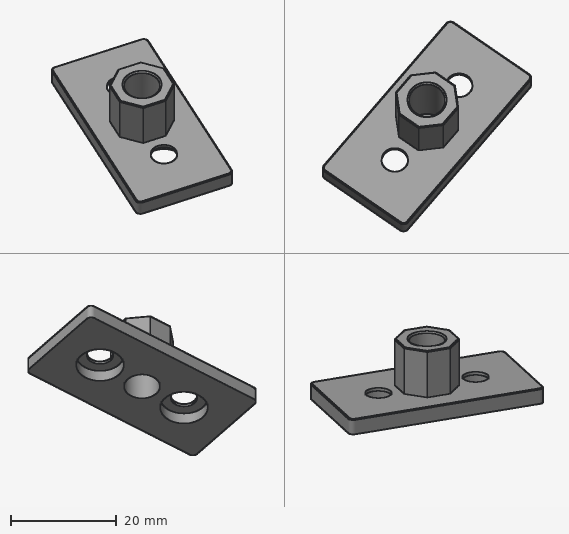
import cadquery as cq
import math

plate_length = 40.0
plate_width = plate_length / 2
plate_thickness = 3.15
corner_radius = 1.0
edge_chamfer = 0.2

total_height = 12.7
boss_across_flats = 11.35
bore_diameter = 6.8
bore_chamfer = 0.3

hole_diameter = 5.0
counterbore_diameter = 9.0
counterbore_floor = 0.65
counterbore_depth = plate_thickness - counterbore_floor
hole_spacing = plate_length / 2


def make_plate():
    """Rounded plate resting on Z = 0, with its top rim chamfered."""
    plate = cq.Workplane("XY").box(plate_length, plate_width, plate_thickness, centered=(True, True, False))
    return plate.edges("|Z").fillet(corner_radius).faces(">Z").edges().chamfer(edge_chamfer)


def make_boss():
    """Octagonal boss with flats facing X and Y, and its top rim chamfered."""
    sides = 8
    across_corners = boss_across_flats / math.cos(math.pi / sides)
    boss = (
        cq.Workplane("XY")
        .transformed(rotate=(0, 0, 180 / sides))
        .polygon(sides, across_corners)
        .extrude(total_height)
    )
    return boss.faces(">Z").edges().chamfer(edge_chamfer)


def make_bore():
    """Through bore widened by a small chamfer at the boss top."""
    bore = cq.Workplane("XY").circle(bore_diameter / 2).extrude(total_height)
    mouth = (
        cq.Workplane("XY", origin=(0, 0, total_height))
        .circle(bore_diameter / 2 + bore_chamfer)
        .extrude(-bore_chamfer, taper=45)
    )
    return bore.union(mouth)


def make_mounting_holes():
    """Through holes on either side of the boss, counterbored from the underside."""
    centers = cq.Workplane("XY").pushPoints([(-hole_spacing / 2, 0), (hole_spacing / 2, 0)])
    holes = centers.circle(hole_diameter / 2).extrude(plate_thickness)
    counterbores = centers.circle(counterbore_diameter / 2).extrude(counterbore_depth)
    return holes.union(counterbores)


result = make_plate().union(make_boss()).cut(make_bore()).cut(make_mounting_holes())